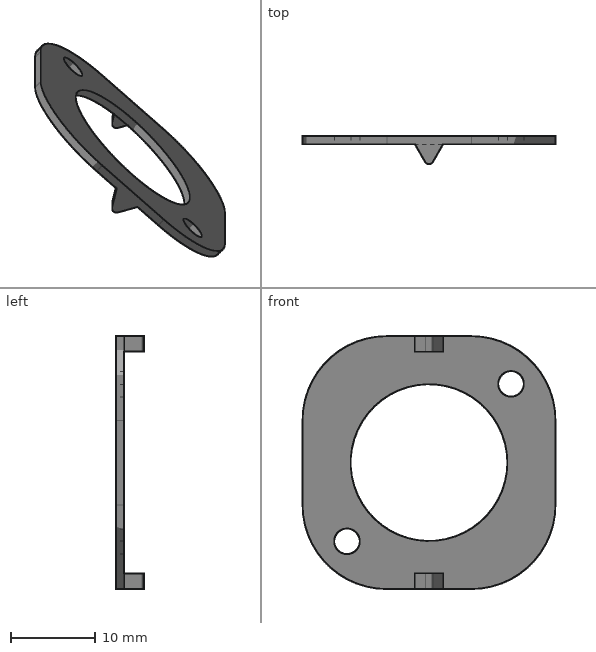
import cadquery as cq
import math

plate_side = 30.0
plate_thickness = 1.0
corner_radius = 10.0
bore_diameter = 18.55

hole_diameter = 3.0
hole_x = 9.72
hole_z = 9.33

tooth_width = 3.35
tooth_length = 1.85
tooth_height = 2.37
tooth_flank_angle = 60.0

sharp_height = tooth_width / 2 * math.tan(math.radians(tooth_flank_angle))
tip_radius = (sharp_height - tooth_height) / (1 / math.cos(math.radians(tooth_flank_angle)) - 1)


def make_plate():
    """Rounded square plate with the central bore and the two small holes."""
    plate = (
        cq.Workplane("XZ")
        .rect(plate_side, plate_side)
        .extrude(-plate_thickness)
        .edges("|Y")
        .fillet(corner_radius)
    )
    cutters = (
        cq.Workplane("XZ")
        .circle(bore_diameter / 2)
        .pushPoints([(hole_x, hole_z), (-hole_x, -hole_z)])
        .circle(hole_diameter / 2)
        .extrude(-plate_thickness)
    )
    return plate.cut(cutters)


def make_tooth(bottom_z):
    """Round-tipped wedge pointing to -Y, rooted in the plate, rising from bottom_z."""
    wedge = (
        cq.Workplane("XY", origin=(0, 0, bottom_z))
        .moveTo(-tooth_width / 2, 0)
        .lineTo(0, -sharp_height)
        .lineTo(tooth_width / 2, 0)
        .close()
        .extrude(tooth_length)
    )
    return wedge.edges("|Z").edges("<Y").fillet(tip_radius)


result = make_plate()
for tooth_bottom in (-plate_side / 2, plate_side / 2 - tooth_length):
    result = result.union(make_tooth(tooth_bottom))